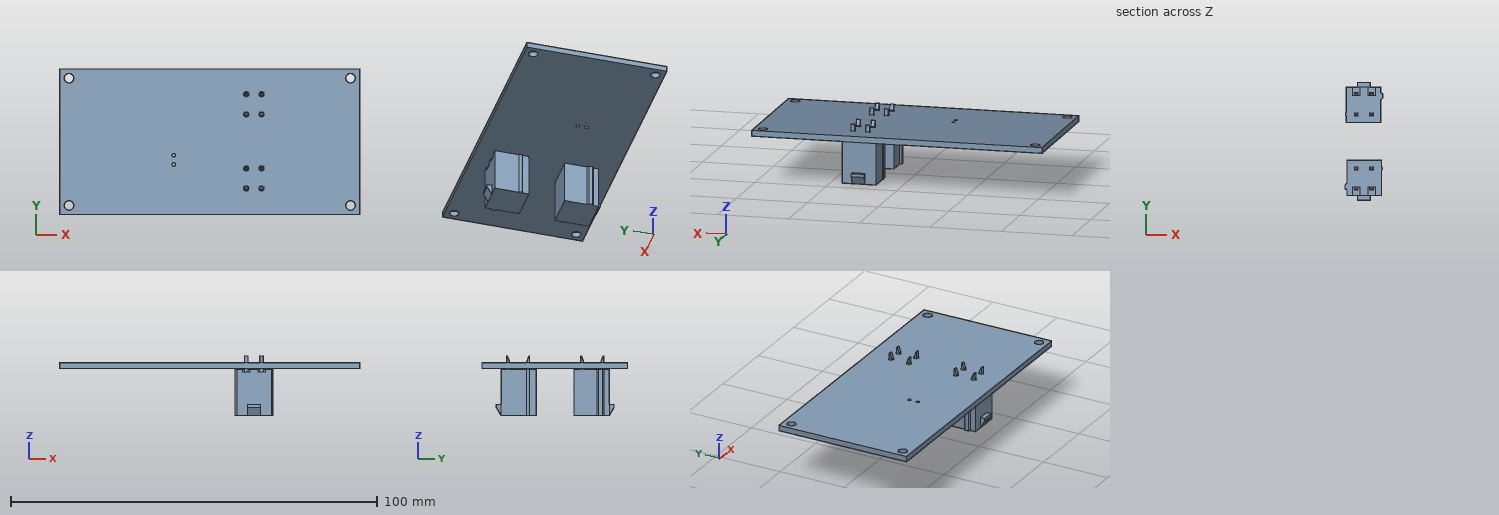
import cadquery as cq


BOARD_LENGTH = 81.9
BOARD_WIDTH = 39.8
BOARD_THICKNESS = 1.6
MOUNT_HOLE_DIAMETER = 2.5
MOUNT_HOLE_INSET = 2.5
LEAD_HOLE_DIAMETER = 0.9
LEAD_HOLE_X = -9.8
LEAD_HOLE_Y = -4.9
LEAD_HOLE_PITCH = 2.5

CONNECTOR_X = 12.0
CONNECTOR_PLACES = [(-10.0, 0), (10.2, 180)]

PIN_PITCH_X = 4.2
PIN_PITCH_Y = 5.5
PIN_WIDTH = 1.1
PIN_DEPTH = 0.8
PIN_TIP_DEPTH = 0.25
PIN_PROTRUSION = 1.8
PIN_SLOPE_START = 0.25
PIN_HOLE_DIAMETER = 1.4

HOUSING_WIDTH = 9.5
HOUSING_DEPTH = 9.7
HOUSING_BOTTOM_Z = -12.85
HOUSING_TOP_Z = -0.2
HOUSING_OFFSET_X = 0.1
HOUSING_OFFSET_Y = 0.2
HOUSING_FRONT_Y = HOUSING_OFFSET_Y - HOUSING_DEPTH / 2

FLAT_RIB_Y = -2.2
FLAT_RIB_BASE_WIDTH = 1.9
FLAT_RIB_HEIGHT = 0.5
FLAT_RIB_FRONT_RUN = 0.3
FLAT_RIB_BACK_RUN = 0.5
ROUND_RIB_Y = 2.7
ROUND_RIB_WIDTH = 0.9
ROUND_RIB_HEIGHT = 0.25

NOTCH_WIDTH = 2.05
NOTCH_FLOOR_Z = -1.0

LATCH_WIDTH = 3.6
LATCH_PROTRUSION = 1.3
LATCH_HEIGHT = 3.1
LATCH_LIP_HEIGHT = 0.8

PIN_XS = [-PIN_PITCH_X / 2, PIN_PITCH_X / 2]
PIN_YS = [-PIN_PITCH_Y / 2, PIN_PITCH_Y / 2]


def place_connector(shape, centre_y, turn):
    """Turn a shape made about the pin group's middle and move it to its place on the board."""
    return shape.rotate((0, 0, 0), (0, 0, 1), turn).translate((CONNECTOR_X, centre_y, 0))


def make_pin_hole_cutters():
    return (
        cq.Workplane("XY")
        .rect(PIN_PITCH_X, PIN_PITCH_Y, forConstruction=True)
        .vertices()
        .circle(PIN_HOLE_DIAMETER / 2)
        .extrude(BOARD_THICKNESS)
    )


def make_board():
    board = cq.Workplane("XY").box(
        BOARD_LENGTH, BOARD_WIDTH, BOARD_THICKNESS, centered=(True, True, False)
    )
    board = (
        board.faces(">Z")
        .workplane()
        .rect(
            BOARD_LENGTH - 2 * MOUNT_HOLE_INSET,
            BOARD_WIDTH - 2 * MOUNT_HOLE_INSET,
            forConstruction=True,
        )
        .vertices()
        .hole(MOUNT_HOLE_DIAMETER)
    )
    lead_holes = [(LEAD_HOLE_X, LEAD_HOLE_Y + side * LEAD_HOLE_PITCH / 2) for side in (-1, 1)]
    board = board.faces(">Z").workplane().pushPoints(lead_holes).hole(LEAD_HOLE_DIAMETER)
    for centre_y, turn in CONNECTOR_PLACES:
        board = board.cut(place_connector(make_pin_hole_cutters(), centre_y, turn))
    return board


def make_pin(x, y):
    """A pin from the notch floor up through the board, its inner face sloping to a thin tip."""
    outward = 1 if y > 0 else -1
    outer_y = y + outward * PIN_DEPTH / 2
    inner_y = y - outward * PIN_DEPTH / 2
    tip_y = outer_y - outward * PIN_TIP_DEPTH
    tip_z = BOARD_THICKNESS + PIN_PROTRUSION
    return (
        cq.Workplane("YZ")
        .workplane(offset=x - PIN_WIDTH / 2)
        .polyline(
            [
                (outer_y, NOTCH_FLOOR_Z),
                (outer_y, tip_z),
                (tip_y, tip_z),
                (inner_y, BOARD_THICKNESS + PIN_SLOPE_START),
                (inner_y, NOTCH_FLOOR_Z),
            ]
        )
        .close()
        .extrude(PIN_WIDTH)
    )


def make_housing_block():
    """The housing's plain prism with a flat rib on its -X side and a round rib on its +X side."""
    left_x = HOUSING_OFFSET_X - HOUSING_WIDTH / 2
    right_x = HOUSING_OFFSET_X + HOUSING_WIDTH / 2
    back_y = HOUSING_FRONT_Y + HOUSING_DEPTH
    flat_rib_front_y = FLAT_RIB_Y - FLAT_RIB_BASE_WIDTH / 2
    flat_rib_back_y = FLAT_RIB_Y + FLAT_RIB_BASE_WIDTH / 2
    round_rib_front_y = ROUND_RIB_Y - ROUND_RIB_WIDTH / 2
    round_rib_back_y = ROUND_RIB_Y + ROUND_RIB_WIDTH / 2
    return (
        cq.Workplane("XY")
        .workplane(offset=HOUSING_BOTTOM_Z)
        .moveTo(left_x, HOUSING_FRONT_Y)
        .lineTo(right_x, HOUSING_FRONT_Y)
        .lineTo(right_x, round_rib_front_y)
        .threePointArc((right_x + ROUND_RIB_HEIGHT, ROUND_RIB_Y), (right_x, round_rib_back_y))
        .lineTo(right_x, back_y)
        .lineTo(left_x, back_y)
        .lineTo(left_x, flat_rib_back_y)
        .lineTo(left_x - FLAT_RIB_HEIGHT, flat_rib_back_y - FLAT_RIB_BACK_RUN)
        .lineTo(left_x - FLAT_RIB_HEIGHT, flat_rib_front_y + FLAT_RIB_FRONT_RUN)
        .lineTo(left_x, flat_rib_front_y)
        .close()
        .extrude(HOUSING_TOP_Z - HOUSING_BOTTOM_Z)
    )


def make_notch_cutter(x):
    """A notch from the housing's front face to the inner face of the front pins."""
    notch_end_y = PIN_YS[0] + PIN_DEPTH / 2
    return (
        cq.Workplane("XY")
        .box(
            NOTCH_WIDTH,
            notch_end_y - HOUSING_FRONT_Y,
            HOUSING_TOP_Z - NOTCH_FLOOR_Z,
            centered=(True, False, False),
        )
        .translate((x, HOUSING_FRONT_Y, NOTCH_FLOOR_Z))
    )


def make_latch():
    """A wedge with a short upright lip, tapering to nothing at the housing's bottom edge."""
    bottom_z = HOUSING_BOTTOM_Z
    top_z = bottom_z + LATCH_HEIGHT
    tip_y = HOUSING_FRONT_Y - LATCH_PROTRUSION
    return (
        cq.Workplane("YZ")
        .workplane(offset=-LATCH_WIDTH / 2)
        .polyline(
            [
                (HOUSING_FRONT_Y, bottom_z),
                (HOUSING_FRONT_Y, top_z),
                (tip_y, top_z),
                (tip_y, top_z - LATCH_LIP_HEIGHT),
            ]
        )
        .close()
        .extrude(LATCH_WIDTH)
    )


def make_connector():
    """One connector, housing and pins in one solid, about the middle of its pin group."""
    connector = make_housing_block().union(make_latch())
    for x in PIN_XS:
        connector = connector.cut(make_notch_cutter(x))
    for x in PIN_XS:
        for y in PIN_YS:
            connector = connector.union(make_pin(x, y))
    return connector


board = make_board()
connectors = [
    place_connector(make_connector(), centre_y, turn) for centre_y, turn in CONNECTOR_PLACES
]

result = cq.Compound.makeCompound(
    [board.val(), *[connector.val() for connector in connectors]]
)